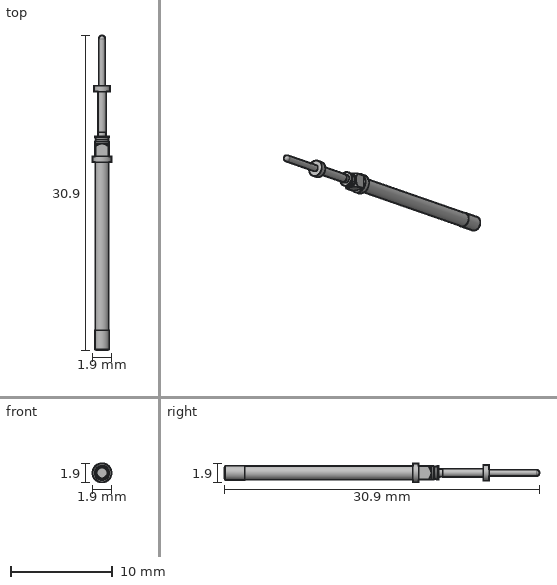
import cadquery as cq
import math

total_length = 30.9
tail_front = 1.98
stop_flange_rear = 18.48
stop_flange_front = 19.03
square_cone_rear = 20.02
square_cone_front = 20.27
groove_rear = 20.45
groove_bottom = 20.65
collar_rear = 20.9
collar_front = 21.0
barrel_rear = 21.38
ring_rear = 25.37
ring_front = 25.95
rear_chamfer_length = 0.1

rear_face_diameter = 1.05
tail_diameter = 1.42
body_diameter = 1.35
stop_flange_diameter = 1.9
groove_diameter = 1.2
collar_diameter = 1.4
neck_diameter = 0.77
neck_flare_diameter = 0.83
barrel_diameter = 0.83
ring_diameter = 1.58
pin_diameter = 0.65

tip_radius = pin_diameter / 2
tip_centre = total_length - tip_radius

square_side = collar_diameter


def turned_body():
    """Revolve the round profile of the whole pin about the Y axis."""
    profile = [
        (rear_face_diameter, 0),
        (tail_diameter, rear_chamfer_length),
        (tail_diameter, tail_front),
        (body_diameter, tail_front),
        (body_diameter, stop_flange_rear),
        (stop_flange_diameter, stop_flange_rear),
        (stop_flange_diameter, square_cone_rear),
        (square_side, square_cone_front),
        (square_side, groove_rear),
        (groove_diameter, groove_bottom),
        (collar_diameter, collar_rear),
        (collar_diameter, collar_front),
        (neck_flare_diameter, collar_front),
        (neck_diameter, barrel_rear),
        (barrel_diameter, barrel_rear),
        (barrel_diameter, ring_rear),
        (ring_diameter, ring_rear),
        (ring_diameter, ring_front),
        (pin_diameter, ring_front),
        (pin_diameter, tip_centre),
    ]
    outline = cq.Workplane("XY").moveTo(0, 0)
    for diameter, position in profile:
        outline = outline.lineTo(diameter / 2, position)
    tip_diagonal = tip_radius * math.sqrt(0.5)
    outline = outline.threePointArc((tip_diagonal, tip_centre + tip_diagonal), (0, total_length))
    return outline.close().revolve(360, (0, 0, 0), (0, 1, 0))


def square_trim():
    """Material outside the square, from the stop flange to the end of its cone."""
    blank_side = 2 * stop_flange_diameter
    return (
        cq.Workplane("XZ", origin=(0, square_cone_front, 0))
        .rect(blank_side, blank_side)
        .rect(square_side, square_side)
        .extrude(square_cone_front - stop_flange_front)
    )


result = turned_body().cut(square_trim())